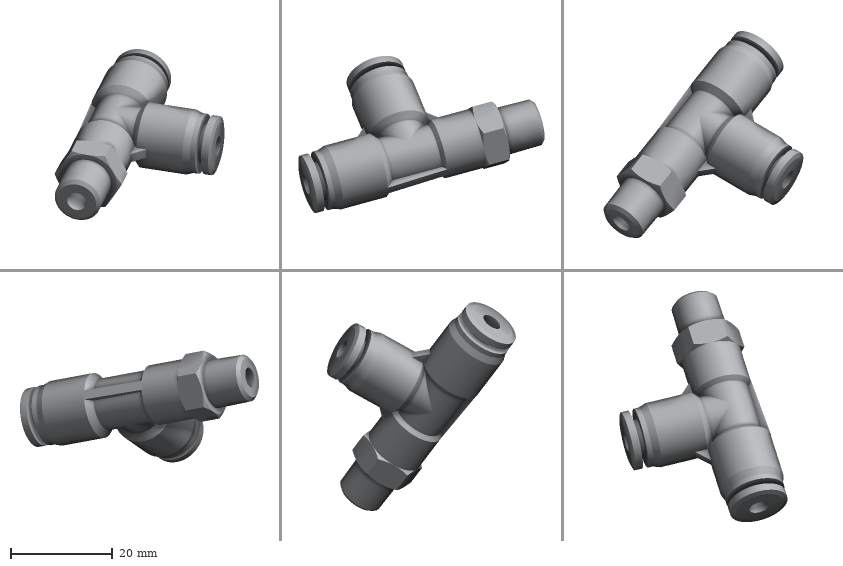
import cadquery as cq
import math

total_length = 48.4
port_reach = 21.4
tail_y = port_reach - total_length
bore_radius = 2.0
core_radius = 5.2

port_diameter = 13.0
port_radius = port_diameter / 2
rim_radius = 6.0
collar_radius = 5.9
collar_face_radius = 4.85
collar_edge_drop = 0.35
collar_thickness = 1.85
neck_radius = 3.85
rim_depth = 3.0
rim_thickness = 1.05
shoulder_depth = 5.5

sleeve_radius = 6.0
hex_flats = 12.0
hex_length = 5.15
hex_front_y = -19.05
hex_back_y = hex_front_y + hex_length
hex_chamfer_radius = 6.0
hex_chamfer_angle = 30.0
stud_root_radius = 4.85
stud_tip_radius = 4.7
stud_chamfer_length = 0.7
stud_end_radius = 3.95

web_thickness = 1.95
port_gusset_reach = 15.45
sleeve_gusset_reach = 14.95


def revolve_y(points):
    """Solid of revolution about Y from (radius, y) points."""
    return cq.Workplane("XY").polyline(points).close().revolve(360, (0, 0, 0), (0, 1, 0))


def make_port_arm():
    """Core and push-in port, pointing along +Y from the tee centre."""
    return revolve_y([
        (0, 0),
        (core_radius, 0),
        (core_radius, core_radius),
        (port_radius, port_radius),
        (port_radius, port_reach - shoulder_depth),
        (rim_radius, port_reach - rim_depth - rim_thickness),
        (rim_radius, port_reach - rim_depth),
        (neck_radius, port_reach - rim_depth),
        (neck_radius, port_reach - collar_thickness),
        (collar_radius, port_reach - collar_thickness),
        (collar_radius, port_reach - collar_edge_drop),
        (collar_face_radius, port_reach),
        (0, port_reach),
    ])


def make_stud_arm():
    """Core, sleeve and tapered stud, pointing along -Y."""
    return revolve_y([
        (0, 0),
        (core_radius, 0),
        (core_radius, -core_radius),
        (sleeve_radius, -sleeve_radius),
        (sleeve_radius, hex_back_y),
        (stud_root_radius, hex_back_y),
        (stud_root_radius, hex_front_y),
        (stud_tip_radius, tail_y + stud_chamfer_length),
        (stud_end_radius, tail_y),
        (0, tail_y),
    ])


def make_hex():
    """Hexagon with corners on the X axis and conically chamfered ends."""
    corner_radius = hex_flats / math.sqrt(3)
    chamfer_drop = (corner_radius - hex_chamfer_radius) * math.tan(math.radians(hex_chamfer_angle))
    prism = (
        cq.Workplane("XZ", origin=(0, hex_back_y, 0))
        .polygon(6, 2 * corner_radius)
        .extrude(hex_length)
    )
    envelope = revolve_y([
        (0, hex_front_y),
        (hex_chamfer_radius, hex_front_y),
        (corner_radius, hex_front_y + chamfer_drop),
        (corner_radius, hex_back_y - chamfer_drop),
        (hex_chamfer_radius, hex_back_y),
        (0, hex_back_y),
    ])
    return prism.intersect(envelope)


def make_web(points):
    """Flat web centred on the XY plane."""
    return cq.Workplane("XY").polyline(points).close().extrude(web_thickness / 2, both=True)


back_web = make_web([
    (0, port_radius),
    (-port_radius, port_radius),
    (-sleeve_radius, -sleeve_radius),
    (0, -sleeve_radius),
])
port_gusset = make_web([(0, 0), (port_gusset_reach, 0), (0, port_gusset_reach)])
sleeve_gusset = make_web([(0, 0), (sleeve_gusset_reach, 0), (0, -sleeve_gusset_reach)])

port_arm = make_port_arm()
branch_arm = port_arm.rotate((0, 0, 0), (0, 0, 1), -90)

body = port_arm.union(branch_arm).union(make_stud_arm()).union(make_hex())
for web in (back_web, port_gusset, sleeve_gusset):
    body = body.union(web)

main_bore = cq.Workplane("XZ", origin=(0, port_reach, 0)).circle(bore_radius).extrude(total_length)
branch_bore = cq.Workplane("YZ").circle(bore_radius).extrude(port_reach)
result = body.cut(main_bore).cut(branch_bore)